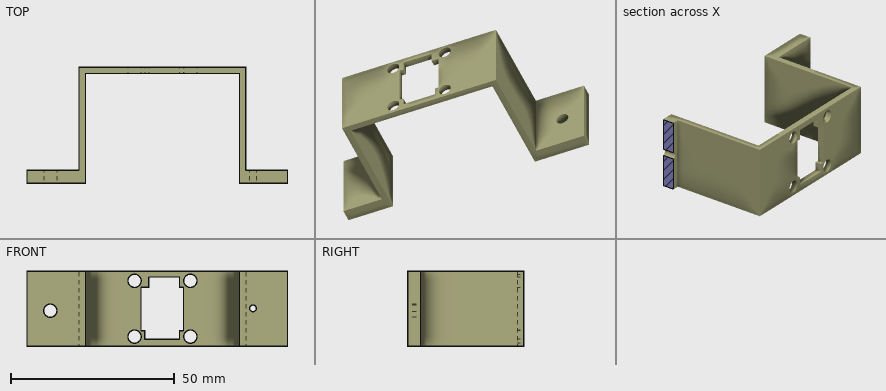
import cadquery as cq

length = 79.7
depth = 35.5
height = 23.0

wall = 2.0
flange_thickness = 4.0
left_wall_outer = 15.95
right_wall_outer = 66.95
left_wall_inner = left_wall_outer + wall
right_wall_inner = right_wall_outer - wall

left_hole_diameter = 4.0
left_hole_x = 7.2
left_hole_z = 10.9
right_hole_diameter = 2.0
right_hole_x = 69.1
right_hole_z = 11.6

plate_hole_diameter = 4.0
plate_hole_spacing = 17.05
plate_center_x = (left_wall_outer + right_wall_outer) / 2
plate_center_z = height / 2

opening_left = 34.9
opening_right = 47.8
opening_bottom = 4.9
opening_top = 18.0
tab_right = 46.6
upper_tab_left = 37.3
upper_tab_top = 21.2
lower_tab_left = 36.1
lower_tab_bottom = 2.2


def box_between(x_range, y_range, z_range):
    """Box spanning the given (start, end) range along each axis."""
    starts, ends = zip(x_range, y_range, z_range)
    sizes = [end - start for start, end in zip(starts, ends)]
    return cq.Workplane("XY").box(*sizes, centered=False).translate(starts)


def make_bracket():
    """Hat-shaped strip extruded over the full height."""
    outline = [
        (0, 0),
        (left_wall_inner, 0),
        (left_wall_inner, depth - wall),
        (right_wall_inner, depth - wall),
        (right_wall_inner, 0),
        (length, 0),
        (length, flange_thickness),
        (right_wall_outer, flange_thickness),
        (right_wall_outer, depth),
        (left_wall_outer, depth),
        (left_wall_outer, flange_thickness),
        (0, flange_thickness),
    ]
    return cq.Workplane("XY").polyline(outline).close().extrude(height)


def make_hole(x, z, diameter, y_range):
    """Cylinder along Y between the two ends of y_range."""
    start, end = y_range
    axis = cq.Vector(0, 1, 0)
    return cq.Solid.makeCylinder(diameter / 2, end - start, cq.Vector(x, start, z), axis)


def make_opening(y_range):
    """Main window with a narrower tab above and below it."""
    window = box_between((opening_left, opening_right), y_range, (opening_bottom, opening_top))
    upper_tab = box_between((upper_tab_left, tab_right), y_range, (opening_bottom, upper_tab_top))
    lower_tab = box_between((lower_tab_left, tab_right), y_range, (lower_tab_bottom, opening_top))
    return window.union(upper_tab).union(lower_tab)


flange_range = (0, flange_thickness)
plate_range = (depth - wall, depth)

result = make_bracket()
result = result.cut(make_hole(left_hole_x, left_hole_z, left_hole_diameter, flange_range))
result = result.cut(make_hole(right_hole_x, right_hole_z, right_hole_diameter, flange_range))
result = result.cut(make_opening(plate_range))
for x_side in (-1, 1):
    for z_side in (-1, 1):
        hole_x = plate_center_x + x_side * plate_hole_spacing / 2
        hole_z = plate_center_z + z_side * plate_hole_spacing / 2
        result = result.cut(make_hole(hole_x, hole_z, plate_hole_diameter, plate_range))